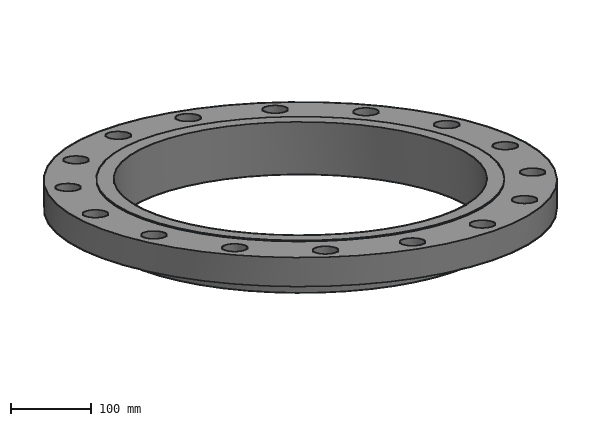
import cadquery as cq

flange_diameter = 635.0
overall_height = 68.33

hub_diameter = 504.9
hub_height = 29.0

face_diameter = hub_diameter
face_height = 1.6
flange_thickness = overall_height - hub_height - face_height

bore_diameter = 461.8

bolt_count = 16
bolt_circle_diameter = 577.85
bolt_hole_diameter = 31.75
first_bolt_angle = 360.0 / bolt_count / 2


def make_body():
    """Hub standing on Z = 0, then the flange disc, then the raised face."""
    hub = cq.Workplane("XY").circle(hub_diameter / 2).extrude(hub_height)
    flange = hub.faces(">Z").workplane().circle(flange_diameter / 2).extrude(flange_thickness)
    return flange.faces(">Z").workplane().circle(face_diameter / 2).extrude(face_height)


def make_bore():
    """Cylinder that opens the full-height bore."""
    return cq.Workplane("XY").circle(bore_diameter / 2).extrude(overall_height)


def make_bolt_holes():
    """Ring of cylinders for the bolt holes through the flange."""
    return (
        cq.Workplane("XY")
        .workplane(offset=hub_height)
        .polarArray(bolt_circle_diameter / 2, first_bolt_angle, 360, bolt_count)
        .circle(bolt_hole_diameter / 2)
        .extrude(flange_thickness)
    )


result = make_body().cut(make_bore()).cut(make_bolt_holes())